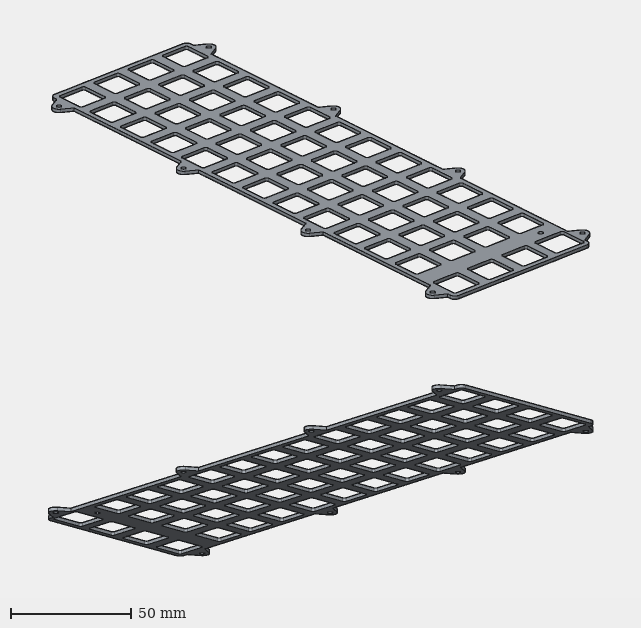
import cadquery as cq
import math

LENGTH = 252.5
THICKNESS = 1.6
CORNER_RADIUS = 2.5

MAIN_COLUMNS = 12
ROWS = 4
LAST_COLUMN_GAP = 1.25
WEB_WIDTH = 5.0
KEY_CORNER_RADIUS = 1.0

TALL_OPENING_HEIGHT = 16.0
TALL_OPENING_Y = 28.8
SIDE_HOLE_X = 105.0
HOLE_DIAMETER = 2.2

TAB_COUNT = 4
TAB_REACH = 44.7
TAB_TIP_RADIUS = 3.0
TAB_BASE_WIDTH = 10.9

key_pitch = LENGTH / (MAIN_COLUMNS + LAST_COLUMN_GAP)
key_size = key_pitch - WEB_WIDTH
depth = ROWS * key_pitch
last_column_x = (LENGTH - key_pitch) / 2
first_column_x = -last_column_x
tab_hole_y = TAB_REACH - TAB_TIP_RADIUS
tab_spacing = 2 * last_column_x / (TAB_COUNT - 1)
tab_positions = [first_column_x + i * tab_spacing for i in range(TAB_COUNT)]
row_positions = [(i - (ROWS - 1) / 2) * key_pitch for i in range(ROWS)]
main_column_positions = [first_column_x + i * key_pitch for i in range(MAIN_COLUMNS)]


def opening(x, y, height):
    """Rectangular through cutter with rounded corners."""
    cutter = cq.Workplane("XY").rect(key_size, height).extrude(THICKNESS)
    return cutter.edges("|Z").fillet(KEY_CORNER_RADIUS).translate((x, y, 0))


def tab(x, side):
    """Tapered tab whose straight flanks run tangent into a round tip; side is +1 or -1 along Y."""
    base_y = depth / 2
    half_base = TAB_BASE_WIDTH / 2
    rise = tab_hole_y - base_y
    base_distance = math.hypot(half_base, rise)
    touch_angle = math.acos(TAB_TIP_RADIUS / base_distance) - math.atan2(rise, half_base)
    touch_x = TAB_TIP_RADIUS * math.cos(touch_angle)
    touch_y = tab_hole_y + TAB_TIP_RADIUS * math.sin(touch_angle)
    inner_y = base_y - CORNER_RADIUS
    profile = (
        cq.Workplane("XY")
        .moveTo(x - half_base, side * inner_y)
        .lineTo(x - half_base, side * base_y)
        .lineTo(x - touch_x, side * touch_y)
        .threePointArc((x, side * TAB_REACH), (x + touch_x, side * touch_y))
        .lineTo(x + half_base, side * base_y)
        .lineTo(x + half_base, side * inner_y)
        .close()
    )
    return profile.extrude(THICKNESS)


plate = cq.Workplane("XY").rect(LENGTH, depth).extrude(THICKNESS)
plate = plate.edges("|Z").fillet(CORNER_RADIUS)
for tab_x in tab_positions:
    for tab_side in (-1, 1):
        plate = plate.union(tab(tab_x, tab_side))

openings = [opening(x, y, key_size) for x in main_column_positions for y in row_positions]
openings += [opening(last_column_x, y, key_size) for y in row_positions[:-1]]
openings.append(opening(last_column_x, TALL_OPENING_Y, TALL_OPENING_HEIGHT))
for key_opening in openings:
    plate = plate.cut(key_opening)

hole_centers = [(x, side * tab_hole_y) for x in tab_positions for side in (-1, 1)]
hole_centers.append((SIDE_HOLE_X, TALL_OPENING_Y))
holes = cq.Workplane("XY").pushPoints(hole_centers).circle(HOLE_DIAMETER / 2).extrude(THICKNESS)
result = plate.cut(holes)